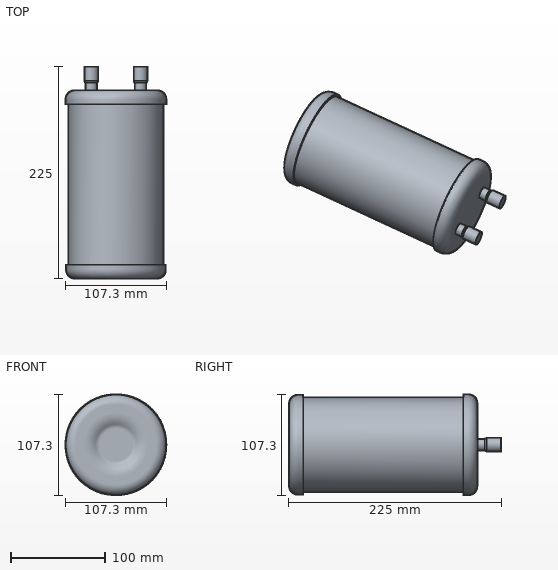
import cadquery as cq

vessel_top = 200.0
barrel_radius = 50.6
bottom_cap_radius = 53.0
top_cap_diameter = 107.3
top_cap_radius = top_cap_diameter / 2
cap_height = 15.0
cap_corner_radius = 10.0

dish_rim_radius = 33.0
dish_transition_radius = 21.5
dish_floor_radius = 17.5
dish_depth = 5.0

overall_length = 225.0
stub_offset = 26.0
stub_radius = 6.3
socket_radius = 7.5
socket_length = 15.0
flare_length = 2.2


def revolve_about_y(profile):
    """Close an XY profile and revolve it a full turn around the Y axis."""
    return profile.close().revolve(360, (0, 0, 0), (0, 1, 0))


def make_vessel():
    """Barrel with both end caps, the bottom one dished in the middle."""
    dish_width = dish_rim_radius - dish_floor_radius
    transition_depth = dish_depth * (dish_rim_radius - dish_transition_radius) / dish_width
    top_cap_base = vessel_top - cap_height
    profile = (
        cq.Workplane("XY")
        .moveTo(0, dish_depth)
        .lineTo(dish_floor_radius, dish_depth)
        .tangentArcPoint((dish_transition_radius, transition_depth), relative=False)
        .tangentArcPoint((dish_rim_radius, 0), relative=False)
        .lineTo(bottom_cap_radius - cap_corner_radius, 0)
        .tangentArcPoint((bottom_cap_radius, cap_corner_radius), relative=False)
        .lineTo(bottom_cap_radius, cap_height)
        .lineTo(barrel_radius, cap_height)
        .lineTo(barrel_radius, top_cap_base)
        .lineTo(top_cap_radius, top_cap_base)
        .lineTo(top_cap_radius, vessel_top - cap_corner_radius)
        .tangentArcPoint((top_cap_radius - cap_corner_radius, vessel_top), relative=False)
        .lineTo(0, vessel_top)
    )
    return revolve_about_y(profile)


def make_stub(x_position):
    """Pipe stub that flares out to a wider socket at its free end."""
    socket_start = overall_length - socket_length
    profile = (
        cq.Workplane("XY")
        .moveTo(0, vessel_top)
        .lineTo(stub_radius, vessel_top)
        .lineTo(stub_radius, socket_start - flare_length)
        .lineTo(socket_radius, socket_start)
        .lineTo(socket_radius, overall_length)
        .lineTo(0, overall_length)
    )
    return revolve_about_y(profile).translate((x_position, 0, 0))


vessel = make_vessel().union(make_stub(-stub_offset))
outlet_pipe = make_stub(stub_offset)

result = cq.Compound.makeCompound([vessel.val(), outlet_pipe.val()])